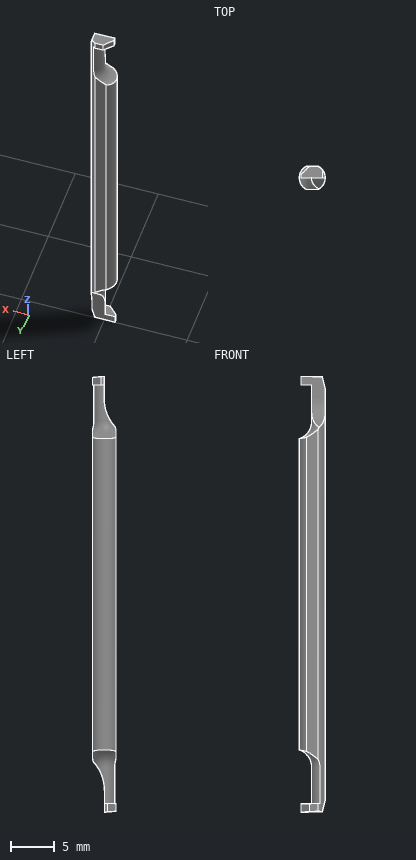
import cadquery as cq

length = 50.0
bar_diameter = 3.0
across_flats = 2.7

rake_length = 2.55
rake_runout = 3.35

neck_axis_x = 1.15
neck_radius = 1.25
neck_end = 5.25
neck_runout_radius = 2.0

head_height = 1.0
hook_reach = 1.3
hook_land = 0.35
hook_slope_run = 1.0
corner_width = 0.35
corner_height = 1.4
relief_drop_x = 0.05
relief_drop_y = 0.1

half_length = length / 2
bar_radius = bar_diameter / 2
half_flats = across_flats / 2
oversize = 2 * bar_diameter


def make_bar():
    bar = cq.Workplane("XY").circle(bar_radius).extrude(half_length, both=True)
    return bar.intersect(cq.Workplane("XY").box(oversize, across_flats, 2 * length))


def rake_cut():
    """Space in front of the rake face, with its tangent run-out arc."""
    radius = (half_flats**2 + rake_runout**2) / (2 * half_flats)
    start_z = half_length - rake_length
    return (
        cq.Workplane("YZ")
        .moveTo(0, length)
        .lineTo(0, start_z)
        .radiusArc((-half_flats, start_z - rake_runout), radius)
        .lineTo(-bar_diameter, start_z - rake_runout)
        .lineTo(-bar_diameter, length)
        .close()
        .extrude(bar_radius, both=True)
    )


def neck_cut():
    """Ring-shaped space around the neck, closed above by the cutting head."""
    top_z = half_length - head_height
    end_z = half_length - neck_end
    outer_radius = neck_radius + neck_runout_radius
    return (
        cq.Workplane("XZ")
        .moveTo(neck_radius, top_z)
        .lineTo(neck_radius, end_z)
        .radiusArc((outer_radius, end_z - neck_runout_radius), -neck_runout_radius)
        .lineTo(outer_radius, top_z)
        .close()
        .revolve(360, (0, 0, 0), (0, 1, 0))
        .translate((neck_axis_x, 0, 0))
    )


def hook_clearance():
    """Space beside the hook: a square end land followed by a sloping back."""
    return (
        cq.Workplane("XY", origin=(0, 0, half_length - head_height))
        .moveTo(-bar_diameter, 0)
        .lineTo(-hook_reach, 0)
        .lineTo(-hook_reach, hook_land)
        .lineTo(hook_slope_run - hook_reach, half_flats)
        .lineTo(hook_slope_run - hook_reach, bar_diameter)
        .lineTo(-bar_diameter, bar_diameter)
        .close()
        .extrude(head_height)
    )


def corner_cut():
    """Sloping back corner of the head, on the side away from the hook."""
    return (
        cq.Workplane("XZ")
        .moveTo(bar_radius, half_length)
        .lineTo(bar_radius - corner_width, half_length)
        .lineTo(bar_radius, half_length - corner_height)
        .close()
        .extrude(bar_radius, both=True)
    )


def end_relief():
    """Space above the end face, which falls away from the tip of the hook."""
    normal = (relief_drop_x / (hook_reach + bar_radius), relief_drop_y / half_flats, 1)
    plane = cq.Plane(origin=(-hook_reach, 0, half_length), normal=normal)
    return cq.Workplane(plane).rect(2 * oversize, 2 * oversize).extrude(bar_diameter)


def end_cuts():
    return [rake_cut(), neck_cut(), hook_clearance(), corner_cut(), end_relief()]


bar = make_bar()
for turn in (0, 180):
    for cut in end_cuts():
        bar = bar.cut(cut.rotate((0, 0, 0), (1, 0, 0), turn))

result = cq.Compound.makeCompound([bar.val()])